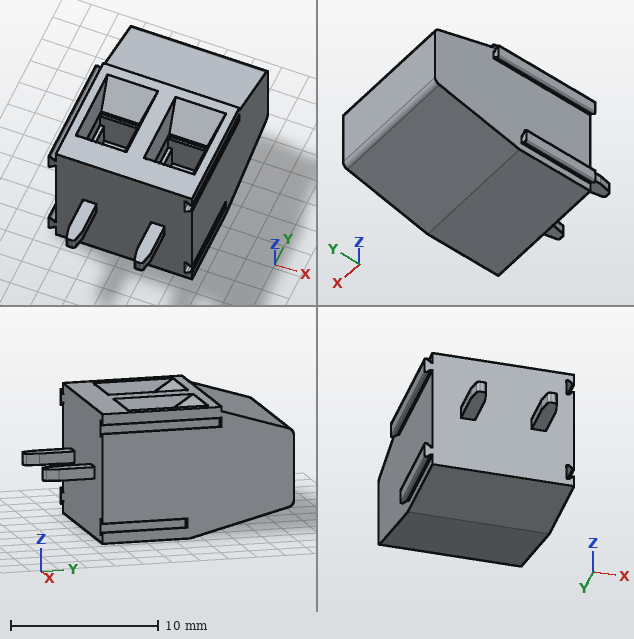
import cadquery as cq


pole_count = 2
pitch = 5.0
body_width = pole_count * pitch
body_depth = 13.5
body_height = 9.03
shoulder_depth = 8.4
shoulder_step = 0.3
back_top_drop = 1.9
bottom_flat_depth = 6.15
back_bottom_rise = 1.85
back_round = 0.5

rib_projection = 0.55
rib_neck_length = 0.1
rib_neck_height = 0.62
rib_tip_height = 1.34
rib_tip_round = 0.1
rib_edge_distance = 1.08
upper_rib_length = shoulder_depth
lower_rib_length = 6.0

pin_length = 3.5
pin_width = 1.0
pin_thickness = 0.8
pin_taper_length = 1.0
pin_tip_width = 0.6
pin_tip_round = 0.2
pin_center_z = body_height / 2

mouth_width = 3.7
mouth_front = 2.0
mouth_back = 7.6
throat_width = 2.8
throat_front = 2.7
throat_back = 5.4
cavity_width = 2.2
cavity_front = 3.08
cavity_back = 5.18
funnel_depth = 1.25
throat_depth = 1.5
shaft_depth = 2.5
cavity_depth = body_height - (pin_center_z + pin_thickness / 2)


def make_housing():
    """Side profile swept across the row, with the two rear corners rounded."""
    profile = [
        (0, 0),
        (bottom_flat_depth, 0),
        (body_depth, back_bottom_rise),
        (body_depth, body_height - back_top_drop),
        (shoulder_depth, body_height - shoulder_step),
        (shoulder_depth, body_height),
        (0, body_height),
    ]
    housing = cq.Workplane("YZ").polyline(profile).close().extrude(body_width)
    return housing.faces(">Y").edges("|X").fillet(back_round)


def make_dovetail(root_x, center_z, length):
    """Dovetail bar growing towards -X from root_x, running back from the pin face."""
    neck_x = root_x - rib_neck_length
    tip_x = root_x - rib_projection
    neck_half = rib_neck_height / 2
    tip_half = rib_tip_height / 2
    outline = [
        (root_x, center_z - neck_half),
        (neck_x, center_z - neck_half),
        (tip_x, center_z - tip_half),
        (tip_x, center_z + tip_half),
        (neck_x, center_z + neck_half),
        (root_x, center_z + neck_half),
    ]
    bar = cq.Workplane("XZ").polyline(outline).close().extrude(-length)
    return bar.faces("<X").edges("|Y").fillet(rib_tip_round)


def make_pin(center_x):
    """Flat pin with a tapered, rounded tip pointing towards -Y."""
    half_width = pin_width / 2
    half_tip = pin_tip_width / 2
    taper_y = pin_taper_length - pin_length
    outline = [
        (center_x - half_width, 0),
        (center_x - half_width, taper_y),
        (center_x - half_tip, -pin_length),
        (center_x + half_tip, -pin_length),
        (center_x + half_width, taper_y),
        (center_x + half_width, 0),
    ]
    base = cq.Workplane("XY").workplane(offset=pin_center_z - pin_thickness / 2)
    pin = base.polyline(outline).close().extrude(pin_thickness)
    return pin.faces("<Y").edges("|Z").fillet(pin_tip_round)


def make_well(center_x, width, front, back, depth):
    """Straight rectangular well from the top face down to the given depth."""
    top = cq.Workplane("XY").workplane(offset=body_height)
    return top.center(center_x, (front + back) / 2).rect(width, back - front).extrude(-depth)


def make_wire_entry(center_x):
    """Negative volume of one wire entry, from the mouth down to the cavity floor."""
    mouth_y = (mouth_front + mouth_back) / 2
    throat_y = (throat_front + throat_back) / 2
    funnel = (
        cq.Workplane("XY").workplane(offset=body_height)
        .center(center_x, mouth_y)
        .rect(mouth_width, mouth_back - mouth_front)
        .workplane(offset=-funnel_depth)
        .center(0, throat_y - mouth_y)
        .rect(throat_width, throat_back - throat_front)
        .loft(ruled=True)
    )
    throat = make_well(center_x, throat_width, throat_front, throat_back, throat_depth)
    shaft = make_well(center_x, throat_width, throat_front, cavity_back, shaft_depth)
    cavity = make_well(center_x, cavity_width, cavity_front, cavity_back, cavity_depth)
    return funnel.union(throat).union(shaft).union(cavity)


result = make_housing()

dovetails = [
    (body_height - rib_edge_distance, upper_rib_length),
    (rib_edge_distance, lower_rib_length),
]
for dovetail_z, dovetail_length in dovetails:
    result = result.union(make_dovetail(0, dovetail_z, dovetail_length))
    result = result.cut(make_dovetail(body_width, dovetail_z, dovetail_length))

for pole in range(pole_count):
    pole_x = (pole + 0.5) * pitch
    result = result.cut(make_wire_entry(pole_x))
    result = result.union(make_pin(pole_x))